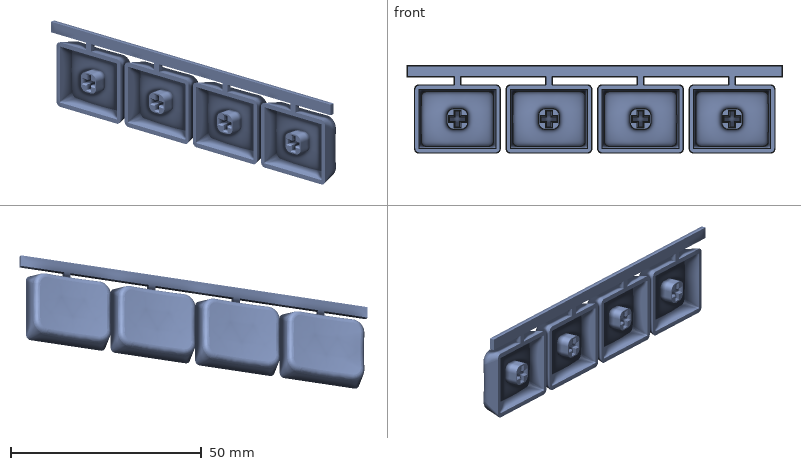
import cadquery as cq

RAIL_LENGTH = 98.4
RAIL_HEIGHT = 3.0
RAIL_THICKNESS = 1.3
TOTAL_HEIGHT = 22.9
CAP_COUNT = 4
CAP_PITCH = 24.0

TAB_WIDTH = 1.8
TAB_LENGTH = 2.1
TAB_OVERLAP = 0.5

CAP_WIDTH = 22.5
CAP_HEIGHT = TOTAL_HEIGHT - RAIL_HEIGHT - TAB_LENGTH
BLANK_DEPTH = 6.1
SIDE_TAPER = 0.5
RIM_CORNER = 1.3
TOP_CORNER = 4.1
DISH_RADIUS = 78.7
DISH_LOW_POINT = 4.7
DISH_EDGE_FILLET = 1.3

TOP_WALL = 1.3
POCKET_WIDTH = 20.2
POCKET_HEIGHT = 15.5
POCKET_TAPER = 0.9
POCKET_RIM_CORNER = 0.2
POCKET_FLOOR_CORNER = 1.8

STEM_SIZE = 5.4
STEM_CORNER = 1.8
CROSS_LENGTH = 4.1
CROSS_WIDTH = 1.2
CROSS_LEAD_IN = 0.3
CROSS_DEPTH = DISH_LOW_POINT - TOP_WALL


def rim_plane():
    """Workplane on the cap rims whose extrusions run toward +Y."""
    return cq.Workplane(cq.Plane(origin=(0, 0, 0), xDir=(1, 0, 0), normal=(0, 1, 0)))


def rounded_rectangle(width, height, corner):
    return cq.Sketch().rect(width, height).vertices().fillet(corner)


def tapered_block(width, height, depth, taper, start_corner, end_corner):
    """Block from Y = 0 to depth that narrows by taper on every side."""
    start = rounded_rectangle(width, height, start_corner)
    end = rounded_rectangle(width - 2 * taper, height - 2 * taper, end_corner)
    return rim_plane().placeSketch(start, end.moved(cq.Location(cq.Vector(0, 0, depth)))).loft()


def dish_sphere(radius):
    """Sphere concentric with the dished top of the cap."""
    return cq.Workplane().sphere(radius).translate((0, DISH_LOW_POINT + DISH_RADIUS, 0))


def make_shell():
    blank = tapered_block(CAP_WIDTH, CAP_HEIGHT, BLANK_DEPTH, SIDE_TAPER, RIM_CORNER, TOP_CORNER)
    dished = blank.cut(dish_sphere(DISH_RADIUS))
    dished = dished.faces(">Y").edges().fillet(DISH_EDGE_FILLET)
    pocket = tapered_block(
        POCKET_WIDTH, POCKET_HEIGHT, BLANK_DEPTH, POCKET_TAPER, POCKET_RIM_CORNER, POCKET_FLOOR_CORNER
    )
    pocket = pocket.cut(dish_sphere(DISH_RADIUS + TOP_WALL))
    return dished.cut(pocket)


def socket_arm(width, height):
    """One arm of the cross, with a lead-in that widens toward the stem end."""
    arm = rim_plane().rect(width, height).extrude(CROSS_DEPTH)
    mouth = rim_plane().rect(width + 2 * CROSS_LEAD_IN, height + 2 * CROSS_LEAD_IN)
    return arm.union(mouth.workplane(offset=CROSS_LEAD_IN).rect(width, height).loft())


def make_stem():
    stem = rim_plane().placeSketch(rounded_rectangle(STEM_SIZE, STEM_SIZE, STEM_CORNER))
    stem = stem.extrude(DISH_LOW_POINT - TOP_WALL / 2)
    across = socket_arm(CROSS_LENGTH, CROSS_WIDTH)
    upright = socket_arm(CROSS_WIDTH, CROSS_LENGTH)
    return stem.cut(across).cut(upright)


def make_tab():
    length = TAB_LENGTH + 2 * TAB_OVERLAP
    tab = cq.Workplane().box(TAB_WIDTH, RAIL_THICKNESS, length, centered=(True, False, False))
    return tab.translate((0, 0, CAP_HEIGHT / 2 - TAB_OVERLAP))


def make_rail():
    rail = cq.Workplane().box(RAIL_LENGTH, RAIL_THICKNESS, RAIL_HEIGHT, centered=(True, False, False))
    return rail.translate((0, 0, CAP_HEIGHT / 2 + TAB_LENGTH))


cap = make_shell().union(make_stem()).union(make_tab())
result = make_rail()
for index in range(CAP_COUNT):
    x = (index - (CAP_COUNT - 1) / 2) * CAP_PITCH
    result = result.union(cap.translate((x, 0, 0)))